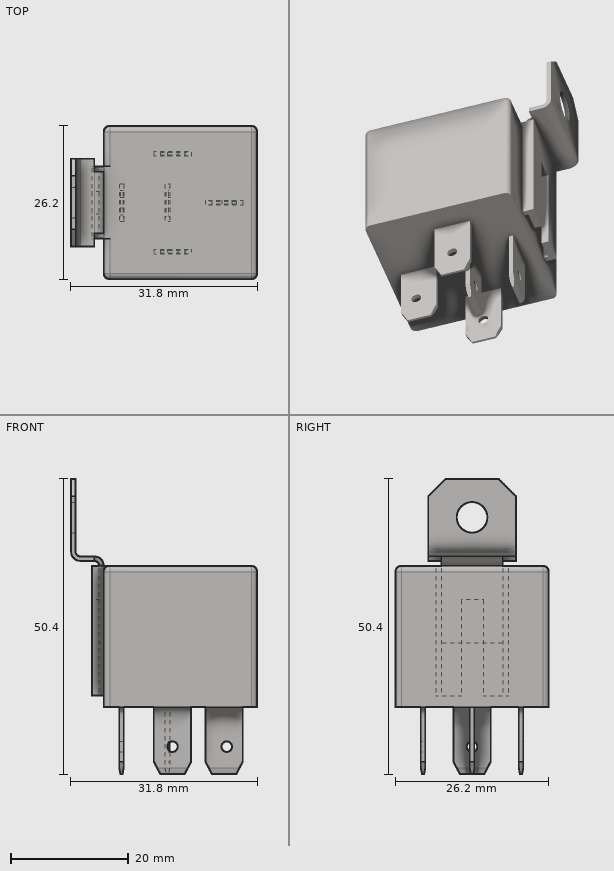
import cadquery as cq


housing_side = 26.2
housing_height = 24.15
housing_round = 1.0
face_x = -housing_side / 2

rail_depth = 2.0
rail_width = 12.35
rail_bottom_z = 1.95
slot_width = 3.8
slot_drop = 5.75

sheet = 0.8
bend_outer = 1.6
bend_inner = bend_outer - sheet
overhang = 5.6
plate_width = 15.0
plate_corner = 2.95
tongue_width = 10.55
tongue_drop = 13.15
bracket_rise = 14.8
mount_hole_diameter = 5.2
mount_hole_drop = 6.55

blade_length = 11.45
blade_width = 6.4
blade_thickness = 0.8
tip_cut_width = 1.1
tip_cut_height = 2.1
tip_bevel_depth = 0.2
tip_bevel_height = 1.05
blade_hole_diameter = 1.75
blade_hole_height = 4.7

front_blade_x = -10.1
middle_blade_x = -2.25
side_blade_x = -1.35
side_blade_y = 8.35
rear_blade_x = 7.45
rear_hole_offset = 0.45

blades = [
    (front_blade_x, 0, 90, 0),
    (middle_blade_x, 0, 90, 0),
    (side_blade_x, -side_blade_y, 0, 0),
    (side_blade_x, side_blade_y, 0, 0),
    (rear_blade_x, 0, 0, rear_hole_offset),
]


def box_between(x_range, y_width, z_range):
    """Box over the given X and Z ranges, centred on Y = 0."""
    x_size = x_range[1] - x_range[0]
    z_size = z_range[1] - z_range[0]
    box = cq.Workplane("XY").box(x_size, y_width, z_size, centered=(False, True, False))
    return box.translate((x_range[0], 0, z_range[0]))


def make_housing():
    """Rounded block with a slotted rail that leaves a pocket for the bracket tongue."""
    block = cq.Workplane("XY").box(
        housing_side, housing_side, housing_height, centered=(True, True, False)
    )
    block = block.edges("|Z or >Z").fillet(housing_round)

    rail_x = face_x - rail_depth
    rail = box_between(
        (rail_x, face_x + housing_round), rail_width, (rail_bottom_z, housing_height)
    )
    pocket = box_between(
        (face_x - sheet, face_x), tongue_width, (rail_bottom_z, housing_height)
    )
    slot = box_between(
        (rail_x, face_x), slot_width, (rail_bottom_z, housing_height - slot_drop)
    )
    return block.union(rail).cut(pocket).cut(slot)


def make_blade(hole_offset):
    """Blade hanging from Z = 0, with its width along X and its thickness along Y."""
    half_width = blade_width / 2
    half_thickness = blade_thickness / 2
    tip_half_width = half_width - tip_cut_width
    tip_half_thickness = half_thickness - tip_bevel_depth
    outline = (
        cq.Workplane("XZ")
        .polyline([
            (-half_width, 0),
            (half_width, 0),
            (half_width, tip_cut_height - blade_length),
            (tip_half_width, -blade_length),
            (-tip_half_width, -blade_length),
            (-half_width, tip_cut_height - blade_length),
        ])
        .close()
        .extrude(half_thickness, both=True)
    )
    bevelled_section = (
        cq.Workplane("YZ")
        .polyline([
            (-half_thickness, 0),
            (half_thickness, 0),
            (half_thickness, tip_bevel_height - blade_length),
            (tip_half_thickness, -blade_length),
            (-tip_half_thickness, -blade_length),
            (-half_thickness, tip_bevel_height - blade_length),
        ])
        .close()
        .extrude(half_width, both=True)
    )
    hole = (
        cq.Workplane("XZ")
        .center(hole_offset, blade_hole_height - blade_length)
        .circle(blade_hole_diameter / 2)
        .extrude(blade_thickness, both=True)
    )
    return outline.intersect(bevelled_section).cut(hole)


def make_relay():
    """Housing and its five blades as one solid."""
    relay = make_housing()
    for x, y, turn, hole_offset in blades:
        blade = make_blade(hole_offset).rotate((0, 0, 0), (0, 0, 1), turn)
        relay = relay.union(blade.translate((x, y, 0)))
    return relay


def make_bracket():
    """Z-bent sheet: wide plate and shelf, then a narrower tongue down into the pocket."""
    plate_x = face_x - overhang
    plate_top_z = housing_height + bracket_rise
    shelf_top_z = housing_height + bend_outer
    shelf_bottom_z = shelf_top_z - sheet
    plate_bend_x = plate_x + bend_outer
    plate_bend_z = shelf_bottom_z + bend_outer
    shelf_end_x = face_x - bend_outer
    tongue_bottom_z = housing_height - tongue_drop

    wide_part = (
        cq.Workplane("XZ")
        .moveTo(plate_x, plate_top_z)
        .lineTo(plate_x, plate_bend_z)
        .radiusArc((plate_bend_x, shelf_bottom_z), -bend_outer)
        .lineTo(shelf_end_x, shelf_bottom_z)
        .lineTo(shelf_end_x, shelf_top_z)
        .lineTo(plate_bend_x, shelf_top_z)
        .radiusArc((plate_x + sheet, plate_bend_z), bend_inner)
        .lineTo(plate_x + sheet, plate_top_z)
        .close()
        .extrude(plate_width / 2, both=True)
    )
    wide_part = wide_part.edges("|X and >Z").chamfer(plate_corner)

    tongue = (
        cq.Workplane("XZ")
        .moveTo(shelf_end_x, shelf_top_z)
        .radiusArc((face_x, housing_height), bend_outer)
        .lineTo(face_x, tongue_bottom_z)
        .lineTo(face_x - sheet, tongue_bottom_z)
        .lineTo(face_x - sheet, housing_height)
        .radiusArc((shelf_end_x, shelf_bottom_z), -bend_inner)
        .close()
        .extrude(tongue_width / 2, both=True)
    )
    mount_hole = (
        cq.Workplane("YZ", origin=(plate_x, 0, 0))
        .center(0, plate_top_z - mount_hole_drop)
        .circle(mount_hole_diameter / 2)
        .extrude(sheet)
    )
    return wide_part.union(tongue).cut(mount_hole)


relay = make_relay()
bracket = make_bracket()
result = cq.Compound.makeCompound([relay.val(), bracket.val()])